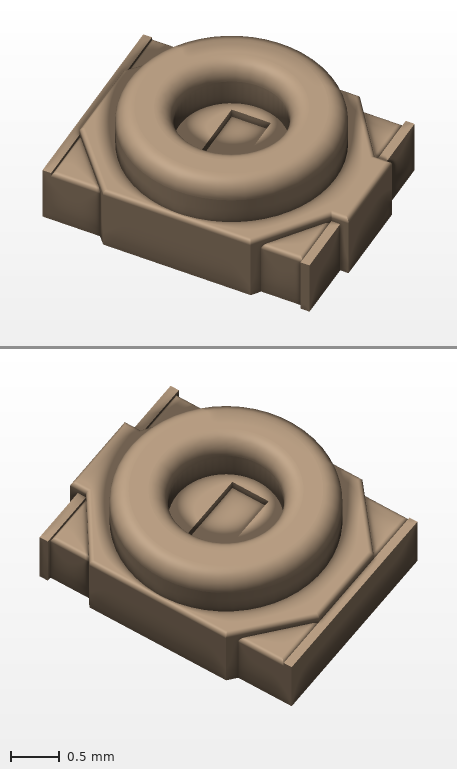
import cadquery as cq

body_left = -1.5
body_right = 1.4
body_half_width = 1.2495
body_height = 0.75
flat_half_length = 0.85
tab_half_width = 0.5
tab_end = 1.6
edge_radius = 0.05

block_half_width = 1.152
block_height = 0.65
left_plate_end = -1.6
right_plate_end = 1.505
right_plate_half_width = 1.2

ring_diameter = 2.4
bore_diameter = 1.2
ring_height = 0.502
ring_edge_radius = 0.2

recess_length = 0.45
recess_width = 0.9
recess_depth = 0.1


def make_box(x_start, x_end, half_width, height):
    """Box standing on the base plane and centred across Y."""
    return cq.Workplane("XY").box(
        x_end - x_start, 2 * half_width, height, centered=(False, True, False)
    ).translate((x_start, 0, 0))


def make_body():
    upper_half = [
        (tab_end, tab_half_width),
        (body_right, tab_half_width),
        (flat_half_length, body_half_width),
        (-flat_half_length, body_half_width),
        (body_left, tab_half_width),
    ]
    lower_half = [(x, -y) for x, y in reversed(upper_half)]
    outline = cq.Workplane("XY").polyline(upper_half + lower_half).close()
    return outline.extrude(body_height).faces(">Z").edges().fillet(edge_radius)


def make_block():
    block = make_box(body_left, body_right, block_half_width, block_height)
    return block.faces(">Z").edges().fillet(edge_radius)


def make_ring():
    ring = (
        cq.Workplane("XY", origin=(0, 0, body_height))
        .circle(ring_diameter / 2)
        .circle(bore_diameter / 2)
        .extrude(ring_height)
    )
    return ring.faces(">Z").edges().fillet(ring_edge_radius)


def make_recess():
    return cq.Workplane("XY", origin=(0, 0, body_height - recess_depth)).rect(
        recess_length, recess_width
    ).extrude(recess_depth)


left_plate = make_box(left_plate_end, body_left, block_half_width, block_height)
right_plate = make_box(body_right, right_plate_end, right_plate_half_width, block_height)

result = (
    make_body()
    .union(make_block())
    .union(left_plate)
    .union(right_plate)
    .union(make_ring())
    .cut(make_recess())
)